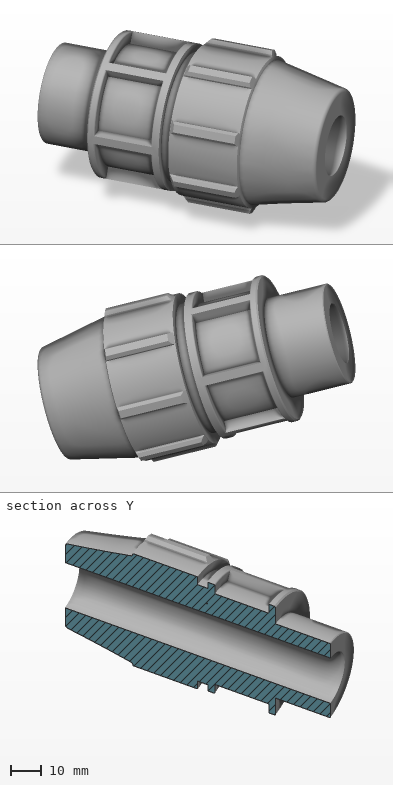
import cadquery as cq
import math

LENGTH = 97.0
BORE_D = 20.0
CLEARANCE = 1.0

SPIGOT_END = 20.0
COLLAR_END = 44.9
NECK_END = 48.5
NUT_END = 72.7

SPIGOT_D = 33.3
COLLAR_D = 48.6
NECK_D = 43.2
NUT_D = 50.15
TAIL_START_D = 47.7
TAIL_END_D = 37.3

SPIGOT_CHAMFER = 0.3
COLLAR_CHAMFER = 0.5
TAIL_FILLET = 1.2
NUT_REAR_ANGLE = 20.0

POCKET_START = 22.6
POCKET_END = 42.2
POCKET_FLOOR_D = 40.5
POCKET_EDGE_R = 0.5
WEB_COUNT = 6
WEB_WIDTH = 2.9

GRIP_COUNT = 8
GRIP_WIDTH = 4.3
GRIP_TOP_WIDTH = 2.6
GRIP_TOP_R = 27.0
GRIP_BEVEL_R = 25.7
GRIP_ROOT_R = 24.9
GRIP_FRONT_SLOPE = 1.7
GRIP_RIM_R = GRIP_TOP_R + CLEARANCE


def around_axis(solid, count, first_angle):
    """Return copies of a solid spaced evenly around the X axis, joined together."""
    copies = cq.Workplane("XY")
    for i in range(count):
        angle = first_angle + i * 360.0 / count
        copies = copies.add(solid.rotate((0, 0, 0), (1, 0, 0), angle))
    return copies.combine()


def make_body():
    """Solid of revolution carrying every stepped outer diameter."""
    spigot_r = SPIGOT_D / 2
    collar_r = COLLAR_D / 2
    outline = (
        cq.Workplane("XY")
        .moveTo(0, 0)
        .lineTo(0, spigot_r - SPIGOT_CHAMFER)
        .lineTo(SPIGOT_CHAMFER, spigot_r)
        .lineTo(SPIGOT_END, spigot_r)
        .lineTo(SPIGOT_END, collar_r - COLLAR_CHAMFER)
        .lineTo(SPIGOT_END + COLLAR_CHAMFER, collar_r)
        .lineTo(COLLAR_END, collar_r)
        .lineTo(COLLAR_END, NECK_D / 2)
        .lineTo(NECK_END, NECK_D / 2)
        .lineTo(NECK_END, NUT_D / 2)
        .lineTo(NUT_END, NUT_D / 2)
        .lineTo(NUT_END, TAIL_START_D / 2)
        .lineTo(LENGTH, TAIL_END_D / 2)
        .lineTo(LENGTH, 0)
        .close()
    )
    body = outline.revolve(360, (0, 0, 0), (1, 0, 0))
    return body.faces(">X").edges().fillet(TAIL_FILLET)


def make_pockets():
    """Ring groove with rounded lips, interrupted by the lengthwise webs."""
    floor_r = POCKET_FLOOR_D / 2
    lip_r = COLLAR_D / 2
    outside_r = lip_r + CLEARANCE
    sag = POCKET_EDGE_R * (1 - math.sqrt(0.5))
    start_lip = POCKET_START - POCKET_EDGE_R
    end_lip = POCKET_END + POCKET_EDGE_R
    groove = (
        cq.Workplane("XY")
        .moveTo(POCKET_START, floor_r)
        .lineTo(POCKET_START, lip_r - POCKET_EDGE_R)
        .threePointArc((POCKET_START - sag, lip_r - sag), (start_lip, lip_r))
        .lineTo(start_lip, outside_r)
        .lineTo(end_lip, outside_r)
        .lineTo(end_lip, lip_r)
        .threePointArc((POCKET_END + sag, lip_r - sag), (POCKET_END, lip_r - POCKET_EDGE_R))
        .lineTo(POCKET_END, floor_r)
        .close()
        .revolve(360, (0, 0, 0), (1, 0, 0))
    )
    web = cq.Workplane("XY").box(
        COLLAR_END - SPIGOT_END, outside_r, WEB_WIDTH, centered=(False, False, True)
    )
    webs = around_axis(web.translate((SPIGOT_END, 0, 0)), WEB_COUNT, 0)
    return groove.cut(webs)


def make_grips():
    """Bevelled bars around the nut, placed symmetrically about the Y and Z axes."""
    half_width = GRIP_WIDTH / 2
    half_top = GRIP_TOP_WIDTH / 2
    bar = (
        cq.Workplane("YZ", origin=(NECK_END, 0, 0))
        .polyline([
            (-half_width, 0),
            (-half_width, GRIP_BEVEL_R),
            (-half_top, GRIP_TOP_R),
            (half_top, GRIP_TOP_R),
            (half_width, GRIP_BEVEL_R),
            (half_width, 0),
        ])
        .close()
        .extrude(NUT_END - NECK_END)
    )
    core_r = NECK_D / 2
    front_run = GRIP_FRONT_SLOPE * (GRIP_RIM_R - GRIP_ROOT_R) / (GRIP_TOP_R - GRIP_ROOT_R)
    envelope = (
        cq.Workplane("XY")
        .polyline([
            (NECK_END, core_r),
            (NECK_END, GRIP_ROOT_R),
            (NECK_END + front_run, GRIP_RIM_R),
            (NUT_END, GRIP_RIM_R),
            (NUT_END, core_r),
        ])
        .close()
        .revolve(360, (0, 0, 0), (1, 0, 0))
    )
    return around_axis(bar.intersect(envelope), GRIP_COUNT, 180.0 / GRIP_COUNT)


def make_nut_rear_trim():
    """Ring that leaves one conical rear face across the nut and its grips."""
    tail_r = TAIL_START_D / 2
    setback = (GRIP_RIM_R - tail_r) * math.tan(math.radians(NUT_REAR_ANGLE))
    return (
        cq.Workplane("XY")
        .polyline([
            (NUT_END, tail_r),
            (NUT_END, GRIP_RIM_R),
            (NUT_END - setback, GRIP_RIM_R),
        ])
        .close()
        .revolve(360, (0, 0, 0), (1, 0, 0))
    )


bore = cq.Workplane("YZ").circle(BORE_D / 2).extrude(LENGTH)

collared_body = make_body().cut(make_pockets())
gripped_body = collared_body.union(make_grips()).cut(make_nut_rear_trim())
result = gripped_body.cut(bore)